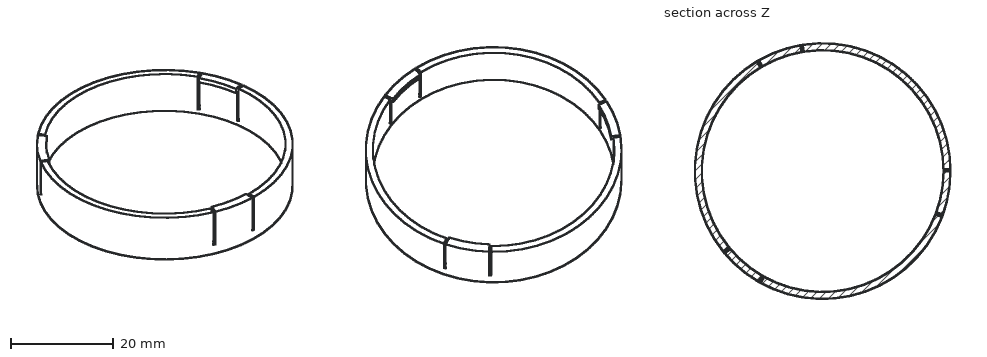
import cadquery as cq

outer_diameter = 50.0
inner_diameter = 47.2
height = 10.0
floor_thickness = 1.2

tab_count = 3
tab_angle = 20.0
first_tab_end_angle = 0.0
slot_width = 0.4
slot_bottom = 2.2

lip_projection = 0.4
lip_height = 1.0

outer_radius = outer_diameter / 2
inner_radius = inner_diameter / 2
wall_thickness = outer_radius - inner_radius


def make_tray():
    body = cq.Workplane("XY").circle(outer_radius).extrude(height)
    cavity = cq.Workplane("XY", origin=(0, 0, floor_thickness)).circle(inner_radius).extrude(height)
    return body.cut(cavity)


def make_lip(start_angle):
    """Inward lip swept counter-clockwise over the tab from start_angle."""
    wall_middle = inner_radius + wall_thickness / 2
    lip_radius = inner_radius - lip_projection
    profile = (
        cq.Workplane("XZ")
        .moveTo(lip_radius, height - lip_height)
        .lineTo(wall_middle, height - lip_height)
        .lineTo(wall_middle, height)
        .lineTo(lip_radius, height)
        .close()
    )
    lip = profile.revolve(tab_angle, (0, 0, 0), (0, 1, 0))
    return lip.rotate((0, 0, 0), (0, 0, 1), start_angle)


def make_slot(angle, side):
    """Radial slot through the wall; side is +1 or -1 for the edge of the ray it lies on."""
    slot_overlap = 1.0
    slot_length = wall_thickness + 2 * slot_overlap
    slot = (
        cq.Workplane("XY")
        .box(slot_length, slot_width, height, centered=(False, True, False))
        .translate((inner_radius - slot_overlap, side * slot_width / 2, slot_bottom))
    )
    return slot.rotate((0, 0, 0), (0, 0, 1), angle)


result = make_tray()
for index in range(tab_count):
    end_angle = first_tab_end_angle + index * 360.0 / tab_count
    start_angle = end_angle - tab_angle
    result = result.union(make_lip(start_angle))
    result = result.cut(make_slot(end_angle, 1))
    result = result.cut(make_slot(start_angle, -1))